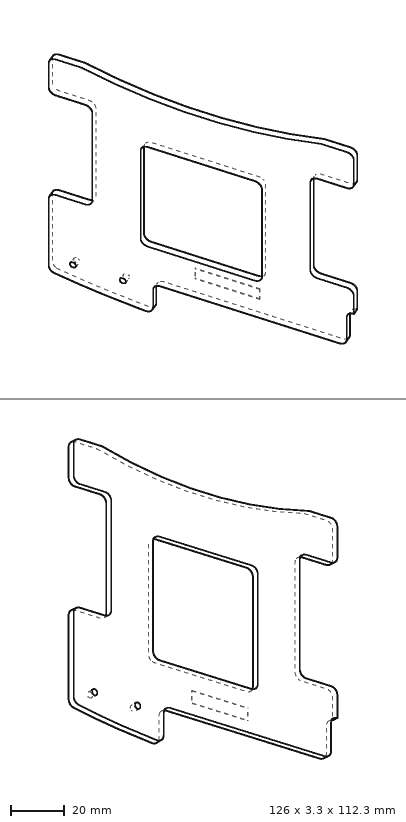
import cadquery as cq
import math

width = 126.0
thickness = 3.0
corner_radius = 3.0

notch_depth = 18.0
notch_top = -18.1
notch_height = 50.0

window_size = 50.0
window_top = -29.4

curve_half_span = 49.4
curve_sag = 5.9

lower_edge = -97.4
step_size = corner_radius
step_top = -80.3

tab_width = 43.1
tab_bottom_radius = 356.6
tab_bottom_apex = -112.9
tab_bottom_lean = 3.5

hole_diameter = 2.5
hole_edge_distance = 10.1
hole_spacing = 20.5
hole_z = -100.5

pad_left = -4.2
pad_length = 26.7
pad_width = 5.0
pad_height = 0.3

right = width / 2
left = -right
notch_x = right - notch_depth
notch_bottom = notch_top - notch_height
step_x = right - step_size
tab_right = left + tab_width
window_bottom = window_top - window_size


def make_blank():
    """Plate outline with sharp corners; the tab runs past its final bottom."""
    blank_bottom = tab_bottom_apex - corner_radius
    quarter_offset = step_size * math.sqrt(0.5)
    step_middle = (right - quarter_offset, step_top - step_size + quarter_offset)
    return (
        cq.Workplane("XZ")
        .moveTo(left, 0)
        .lineTo(-curve_half_span, 0)
        .threePointArc((0, -curve_sag), (curve_half_span, 0))
        .lineTo(right, 0)
        .lineTo(right, notch_top)
        .lineTo(notch_x, notch_top)
        .lineTo(notch_x, notch_bottom)
        .lineTo(right, notch_bottom)
        .lineTo(right, step_top)
        .threePointArc(step_middle, (step_x, step_top - step_size))
        .lineTo(step_x, lower_edge)
        .lineTo(tab_right, lower_edge)
        .lineTo(tab_right, blank_bottom)
        .lineTo(left, blank_bottom)
        .lineTo(left, notch_bottom)
        .lineTo(-notch_x, notch_bottom)
        .lineTo(-notch_x, notch_top)
        .lineTo(left, notch_top)
        .close()
        .extrude(-thickness)
    )


def trim_tab_bottom(plate):
    """Trim the tab to a large cylinder whose axis leans down toward the back."""
    cylinder_z = tab_bottom_apex + tab_bottom_radius
    cylinder = (
        cq.Workplane("XZ")
        .center(0, cylinder_z)
        .circle(tab_bottom_radius)
        .extrude(tab_bottom_radius / 2, both=True)
        .rotate((0, 0, tab_bottom_apex), (1, 0, tab_bottom_apex), -tab_bottom_lean)
    )
    return plate.intersect(cylinder)


def cut_window(plate):
    """Cut the square window through the plate."""
    window = (
        cq.Workplane("XZ")
        .center(0, (window_top + window_bottom) / 2)
        .rect(window_size, window_size)
        .extrude(-thickness)
    )
    return plate.cut(window)


def round_corners(plate):
    """Round every corner of the plate and window; the step keeps its own arc."""
    margin = step_size / 4
    step_region = cq.selectors.BoxSelector(
        (step_x - margin, -margin, step_top - step_size - margin),
        (right + margin, thickness + margin, step_top + margin),
    )
    through_edges = cq.selectors.StringSyntaxSelector("%LINE and (not #Y)")
    return plate.edges(through_edges - step_region).fillet(corner_radius)


def cut_holes(plate):
    """Drill the two mounting holes through the tab."""
    first_x = left + hole_edge_distance
    holes = (
        cq.Workplane("XZ")
        .pushPoints([(first_x, hole_z), (first_x + hole_spacing, hole_z)])
        .circle(hole_diameter / 2)
        .extrude(-thickness)
    )
    return plate.cut(holes)


def add_back_pad(plate):
    """Raise the thin pad on the back, midway between window and lower edge."""
    pad = (
        cq.Workplane("XZ", origin=(0, thickness, 0))
        .center(pad_left + pad_length / 2, (window_bottom + lower_edge) / 2)
        .rect(pad_length, pad_width)
        .extrude(-pad_height)
    )
    return plate.union(pad)


blank = trim_tab_bottom(make_blank())
plate = cut_holes(round_corners(cut_window(blank)))
result = add_back_pad(plate)